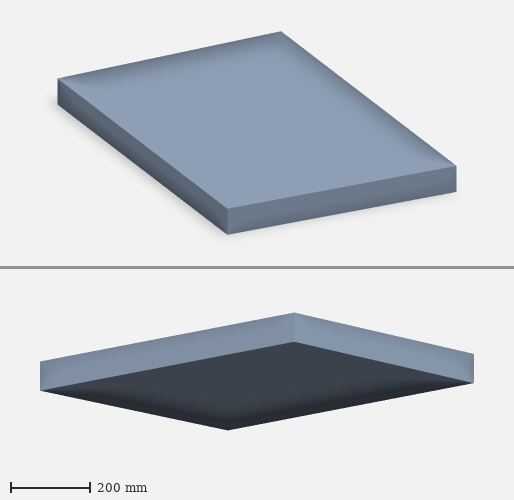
import cadquery as cq

length = 918.0
depth = 600.0
thickness = 76.0

left_lean = 114.0
right_lean = 139.5

outline = [
    (0, 0),
    (length - right_lean, 0),
    (length, depth),
    (left_lean, depth),
]

result = cq.Workplane("XY").polyline(outline).close().extrude(thickness)